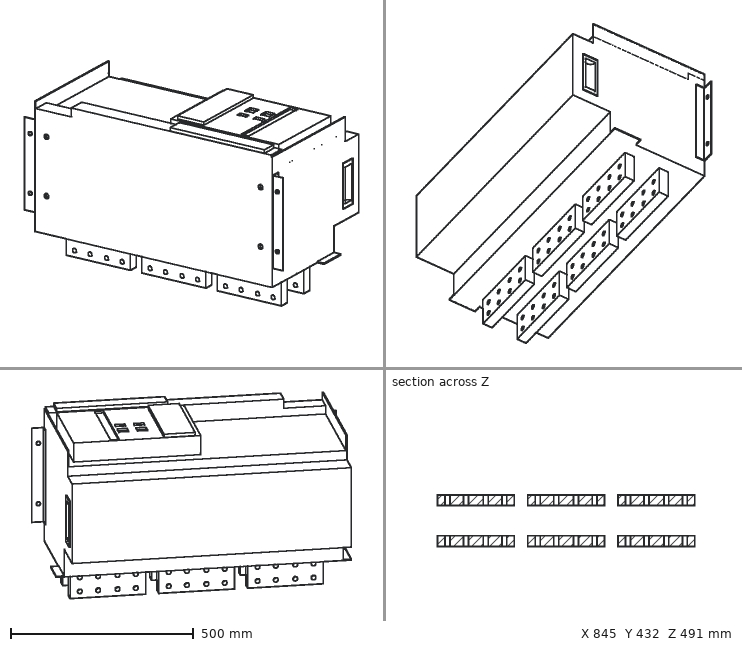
import cadquery as cq

body_half_width = 388.0
body_depth = 432.0
floor_z = 337.0
sheet = 3.0

base_depth = 309.0
bulge_bottom = 80.0
bulge_top = 310.0
upper_depth = 365.0
side_plate_top = 382.0

cover_depth = 52.0
cover_top = 387.0
cover_low_top = 361.0
cover_step_x = -269.0

strip_left = 53.0
strip_right = 362.0
strip_front = 2.0
strip_back = 47.0
strip_top = 397.0

panel_left = 12.0
panel_right = 365.0
panel_front = 68.5
panel_back = 328.0
panel_top = 392.0
recess_depth = 6.0

plate_left = 27.0
plate_right = 113.0
plate_front = 79.0
plate_back = 325.0
plate_top = 401.0

button_columns = (160.5, 213.0)
button_width = 28.0
button_y = 245.0
window_y = 202.0
window_height = 14.0
slot_left = 237.0
slot_right = 261.0
slot_front = 76.0
slot_back = 320.0

bar_width = 210.0
bar_pitch = 247.0
bar_middle_x = 6.0
bar_thickness = 29.5
bar_front_faces = (92.0, 204.0)
bar_bottom = -90.0
bar_hole_offsets = (-78.0, -27.0, 27.0, 78.0)
bar_hole_levels = (-30.0, -71.0)
bar_hole_diameter = 13.0

angle_reach = 422.5
angle_sheet = 2.5
angle_leg = 29.0
angle_bottom = 56.0
angle_top = 328.0
angle_hole_x = 404.0
angle_hole_diameter = 11.0
angle_hole_levels = (108.0, 283.0)

front_hole_x = 350.0
front_hole_diameter = 14.0
front_hole_depth = 8.5
front_hole_levels = (111.5, 286.0)

lug_reach = 410.0
lug_front = 225.0

grip_frame_y = (351.5, 400.0)
grip_frame_z = (117.0, 250.0)
grip_frame_thickness = 2.5
grip_center_y = sum(grip_frame_y) / 2
grip_radius = 16.0
grip_z = (130.0, 237.0)


def box(x0, x1, y0, y1, z0, z1):
    """Axis-aligned box between opposite corners."""
    return cq.Workplane("XY").box(x1 - x0, y1 - y0, z1 - z0, centered=False).translate((x0, y0, z0))


def both_sides(shape):
    """The shape together with its mirror image across X = 0."""
    return shape.union(shape.mirror("YZ"))


def front_drill(x, z, y_start, depth, diameter):
    """Cylinder pointing along +Y from y_start."""
    return cq.Workplane("XZ", origin=(x, y_start, z)).circle(diameter / 2).extrude(-depth)


def make_body():
    outline = [
        (0, 0),
        (base_depth, 0),
        (base_depth, bulge_bottom),
        (body_depth, bulge_bottom),
        (body_depth, bulge_top),
        (upper_depth, bulge_top),
        (upper_depth, side_plate_top),
        (0, side_plate_top),
    ]
    body = (
        cq.Workplane("YZ", origin=(-body_half_width, 0, 0))
        .polyline(outline)
        .close()
        .extrude(2 * body_half_width)
    )
    inner = body_half_width - sheet
    body = body.cut(box(-inner, inner, 0, upper_depth, floor_z, side_plate_top))
    body = body.union(box(-inner, inner, 0, cover_depth, floor_z, cover_low_top))
    return body.union(box(cover_step_x, inner, 0, cover_depth, floor_z, cover_top))


def make_panel():
    panel = box(panel_left, panel_right, panel_front, panel_back, floor_z, panel_top)
    panel = panel.union(box(plate_left, plate_right, plate_front, plate_back, panel_top, plate_top))
    recess_floor = panel_top - recess_depth
    for x in button_columns:
        for y, height in ((button_y, button_width), (window_y, window_height)):
            left = x - button_width / 2
            front = y - height / 2
            panel = panel.cut(
                box(left, left + button_width, front, front + height, recess_floor, panel_top)
            )
    return panel.cut(box(slot_left, slot_right, slot_front, slot_back, recess_floor, panel_top))


def make_bar(x, y):
    half = bar_width / 2
    bar = box(x - half, x + half, y, y + bar_thickness, bar_bottom, 0)
    for offset in bar_hole_offsets:
        for level in bar_hole_levels:
            bar = bar.cut(front_drill(x + offset, level, y, bar_thickness, bar_hole_diameter))
    return bar


def make_angle():
    """Bent sheet on the +X side, rounded on the outside of its bend."""
    leg_outer = body_half_width + angle_sheet
    angle = (
        cq.Workplane("XY", origin=(0, 0, angle_bottom))
        .moveTo(body_half_width, angle_leg)
        .lineTo(body_half_width, angle_sheet)
        .radiusArc((leg_outer, 0), -angle_sheet)
        .lineTo(angle_reach, 0)
        .lineTo(angle_reach, angle_sheet)
        .lineTo(leg_outer, angle_sheet)
        .lineTo(leg_outer, angle_leg)
        .close()
        .extrude(angle_top - angle_bottom)
    )
    for level in angle_hole_levels:
        angle = angle.cut(front_drill(angle_hole_x, level, 0, angle_sheet, angle_hole_diameter))
    return angle


def make_grip_frame():
    outer = body_half_width + grip_frame_thickness
    return box(body_half_width, outer, *grip_frame_y, *grip_frame_z)


def make_grip_hollow():
    """Half-round hollow through the frame, its axis in the frame's outer face."""
    outer = body_half_width + grip_frame_thickness
    return (
        cq.Workplane("XY", origin=(outer, grip_center_y, grip_z[0]))
        .circle(grip_radius)
        .extrude(grip_z[1] - grip_z[0])
    )


result = make_body()
result = result.union(box(strip_left, strip_right, strip_front, strip_back, cover_top, strip_top))
result = result.union(make_panel())

for column in (-1, 0, 1):
    for bar_y in bar_front_faces:
        result = result.union(make_bar(bar_middle_x + column * bar_pitch, bar_y))

lug = box(body_half_width, lug_reach, lug_front, base_depth, 0, sheet)
result = result.union(both_sides(make_angle()))
result = result.union(both_sides(lug))
result = result.union(both_sides(make_grip_frame()))
result = result.cut(both_sides(make_grip_hollow()))

for hole_z in front_hole_levels:
    hole = front_drill(front_hole_x, hole_z, 0, front_hole_depth, front_hole_diameter)
    result = result.cut(both_sides(hole))